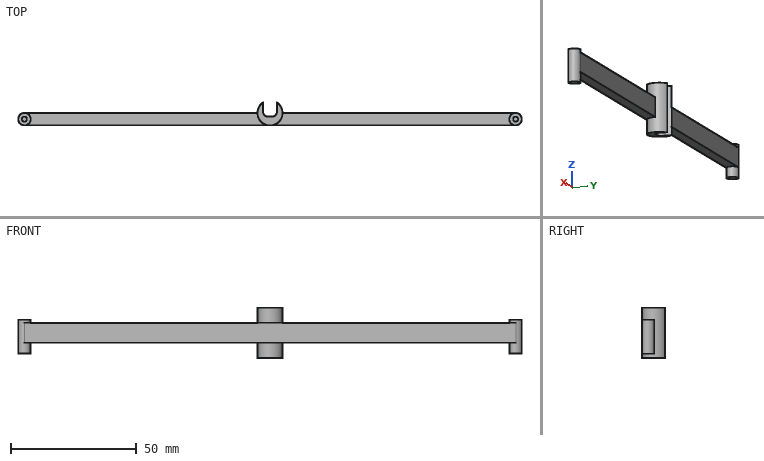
import cadquery as cq

overall_length = 200.0

clip_diameter = 10.0
clip_height = 20.0
slot_width = 5.5
slot_floor_offset = 1.5
slot_corner_radius = 1.8

bar_thickness = 5.0
bar_height = 8.0

pin_diameter = bar_thickness
pin_rise = 1.2
pin_drop = 4.2
pin_hole_diameter = 2.0
pin_hole_depth = 4.0

pin_spacing = overall_length - pin_diameter
bar_center_y = (bar_thickness - clip_diameter) / 2
pin_top = bar_height / 2 + pin_rise
pin_height = pin_rise + bar_height + pin_drop


def make_bar():
    """Bar running between the two pin axes."""
    return cq.Workplane("XY").box(pin_spacing, bar_thickness, bar_height).translate((0, bar_center_y, 0))


def make_clip():
    """Cylinder that becomes a C-shaped clip once slotted."""
    return cq.Workplane("XY").cylinder(clip_height, clip_diameter / 2)


def make_slot():
    """Full-height slot open to +Y, with rounded inner corners."""
    slot_length = slot_floor_offset + clip_diameter / 2
    return (
        cq.Workplane("XY")
        .box(slot_width, slot_length, clip_height, centered=(True, False, True))
        .edges("|Z and <Y")
        .fillet(slot_corner_radius)
        .translate((0, -slot_floor_offset, 0))
    )


def downward_cylinders(diameter, depth):
    """One cylinder on each pin axis, reaching down from the pin top."""
    return (
        cq.Workplane("XY", origin=(0, bar_center_y, pin_top))
        .rarray(pin_spacing, 2, 2, 1)
        .circle(diameter / 2)
        .extrude(-depth)
    )


result = (
    make_bar()
    .union(make_clip())
    .union(downward_cylinders(pin_diameter, pin_height))
    .cut(make_slot())
    .cut(downward_cylinders(pin_hole_diameter, pin_hole_depth))
)